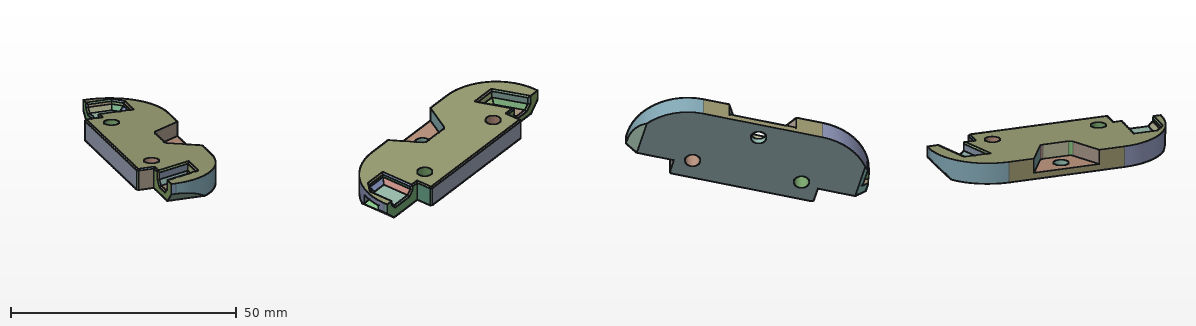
import cadquery as cq
import math

length = 55.0
thickness = 4.95
rear_y = 14.85
corner_radius = 13.85
tongue_width = 33.0
tongue_reach = 3.9
end_bevel = 2.5
edge_chamfer = 0.35

hole_diameter = 3.4
front_hole_x = 12.5
front_hole_y = 1.0
rear_hole_y = 11.15

notch_mouth_width = 15.4
notch_front_width = 7.15
notch_front_y = 7.7
notch_floor_z = 1.55
notch_corner_radius = 1.0

pocket_border = 1.05
rim_chamfer = 0.4

left_pocket_floor_z = 2.85
left_pocket_outer_x = -25.45
left_pocket_inner_x = -18.55
left_pocket_rear_y = 8.05
left_pocket_corner_cut = 2.05

right_pocket_floor_z = 1.85
right_pocket_inner_x = 19.2
right_pocket_outer_x = 24.5
right_pocket_rear_y = 8.2
right_pocket_lean = 20.0

recess_front_y = 2.55
recess_rear_y = 7.65
recess_floor_z = 1.05
recess_back_x = -23.8
recess_back_top_z = 1.55
recess_shoulder_x = -24.95
recess_shoulder_z = 2.75
recess_mouth_z = 3.5

cut_margin = 0.55
half_length = length / 2
half_tongue = tongue_width / 2


def make_plate():
    arc_y = rear_y - corner_radius
    arc_x = half_length - corner_radius
    mid_offset = corner_radius * math.sqrt(0.5)
    mid_x = arc_x + mid_offset
    mid_y = arc_y + mid_offset
    plate = (
        cq.Workplane("XY")
        .moveTo(-half_tongue, -tongue_reach)
        .lineTo(half_tongue, -tongue_reach)
        .lineTo(half_tongue, 0)
        .lineTo(half_length, 0)
        .lineTo(half_length, arc_y)
        .threePointArc((mid_x, mid_y), (arc_x, rear_y))
        .lineTo(-arc_x, rear_y)
        .threePointArc((-mid_x, mid_y), (-half_length, arc_y))
        .lineTo(-half_length, 0)
        .lineTo(-half_tongue, 0)
        .close()
        .extrude(thickness)
    )
    return plate.edges("|Z and <Y").chamfer(edge_chamfer)


def make_end_bevel(side):
    """Wedge under one end of the plate; side is -1 or 1."""
    tip_x = side * half_length
    corners = [(tip_x - side * end_bevel, 0), (tip_x, 0), (tip_x, end_bevel)]
    return cq.Workplane("XZ").polyline(corners).close().extrude(-rear_y)


def chamfer_front_edges(plate):
    """Chamfer the top front edges, leaving the wing tips outside the pockets sharp."""
    front_edges = cq.selectors.BoxSelector(
        (-half_length, -tongue_reach - cut_margin, thickness - cut_margin),
        (half_length, edge_chamfer, thickness + cut_margin),
    )
    chamfered = plate.faces(">Z").edges(front_edges).chamfer(edge_chamfer)
    middle = (
        cq.Workplane("XY")
        .box(right_pocket_outer_x - left_pocket_outer_x, 3 * length, 3 * thickness)
        .translate(((right_pocket_outer_x + left_pocket_outer_x) / 2, 0, 0))
    )
    return chamfered.union(plate.cut(middle))


def offset_outline(outline, offset, z):
    """Wire at height z with every side moved outward by offset, except the open front."""
    front_line = (0, -1, cut_margin)
    lines = [front_line]
    for (start_x, start_y), (end_x, end_y) in zip(outline, outline[1:]):
        run = math.hypot(end_x - start_x, end_y - start_y)
        normal_x = (start_y - end_y) / run
        normal_y = (end_x - start_x) / run
        lines.append((normal_x, normal_y, normal_x * start_x + normal_y * start_y + offset))
    lines.append(front_line)
    corners = []
    for (ax, ay, a_distance), (bx, by, b_distance) in zip(lines, lines[1:]):
        cross = ax * by - ay * bx
        x = (a_distance * by - b_distance * ay) / cross
        y = (ax * b_distance - bx * a_distance) / cross
        corners.append(cq.Vector(x, y, z))
    return cq.Wire.makePolygon(corners, close=True)


def make_pocket(outline, floor_z):
    """Pocket cutter from its wall outline, listed clockwise from left front to right front."""
    wall_z = floor_z + pocket_border
    levels = [
        (-pocket_border, floor_z),
        (0, wall_z),
        (0, thickness - rim_chamfer),
        (rim_chamfer, thickness),
    ]
    wires = [offset_outline(outline, offset, z) for offset, z in levels]
    pocket = cq.Workplane("XY")
    for low_wire, high_wire in zip(wires, wires[1:]):
        pocket = pocket.union(cq.Workplane(obj=cq.Solid.makeLoft([low_wire, high_wire], True)))
    return pocket


def make_pocket_lip(left_x, right_x, floor_z, lean=0.0):
    """Chamfer cutter around the pocket's opening in the front face."""
    lean_angle = math.radians(lean)
    border_width = pocket_border / math.cos(lean_angle)
    wall_z = floor_z + pocket_border
    corner_shift = rim_chamfer * math.tan(math.pi / 8)

    def section(y, growth, corner_growth):
        lean_shift = y * math.tan(lean_angle)
        left = left_x - lean_shift - growth
        right = right_x - lean_shift + growth
        border = border_width + growth - corner_growth
        low_z = floor_z - growth
        high_z = wall_z - corner_growth
        points = [
            (left, thickness),
            (left, high_z),
            (left + border, low_z),
            (right - border, low_z),
            (right, high_z),
            (right, thickness),
        ]
        return cq.Wire.makePolygon([cq.Vector(x, y, z) for x, z in points], close=True)

    front = section(0, rim_chamfer, corner_shift)
    back = section(rim_chamfer, 0, 0)
    return cq.Workplane(obj=cq.Solid.makeLoft([front, back], True))


def make_rear_notch():
    slope = (notch_mouth_width - notch_front_width) / 2 / (rear_y - notch_front_y)
    half_mouth = notch_mouth_width / 2 + slope * cut_margin
    half_front = notch_front_width / 2
    mouth_y = rear_y + cut_margin
    corners = [
        (-half_mouth, mouth_y),
        (-half_front, notch_front_y),
        (half_front, notch_front_y),
        (half_mouth, mouth_y),
    ]
    notch = cq.Workplane("XY").workplane(offset=notch_floor_z).polyline(corners).close().extrude(thickness)
    return notch.edges("|Z and <Y").fillet(notch_corner_radius)


def make_end_recess():
    outside_x = -half_length
    profile = (
        cq.Workplane("XZ", origin=(0, recess_front_y, 0))
        .moveTo(outside_x, recess_floor_z)
        .lineTo(recess_back_x, recess_floor_z)
        .lineTo(recess_back_x, recess_back_top_z)
        .threePointArc((recess_shoulder_x, recess_shoulder_z), (outside_x, recess_mouth_z))
        .close()
    )
    return profile.extrude(recess_front_y - recess_rear_y)


def make_holes():
    centers = [(-front_hole_x, front_hole_y), (front_hole_x, front_hole_y), (0, rear_hole_y)]
    return cq.Workplane("XY").pushPoints(centers).circle(hole_diameter / 2).extrude(thickness)


left_outline = [
    (left_pocket_outer_x, 0),
    (left_pocket_outer_x, left_pocket_rear_y - left_pocket_corner_cut),
    (left_pocket_outer_x + left_pocket_corner_cut, left_pocket_rear_y),
    (left_pocket_inner_x, left_pocket_rear_y),
    (left_pocket_inner_x, 0),
]
right_rear_shift = right_pocket_rear_y * math.tan(math.radians(right_pocket_lean))
right_outline = [
    (right_pocket_inner_x, 0),
    (right_pocket_inner_x - right_rear_shift, right_pocket_rear_y),
    (right_pocket_outer_x - right_rear_shift, right_pocket_rear_y),
    (right_pocket_outer_x, 0),
]

result = chamfer_front_edges(make_plate())
for side in (-1, 1):
    result = result.cut(make_end_bevel(side))
result = result.cut(make_pocket(left_outline, left_pocket_floor_z))
result = result.cut(make_pocket_lip(left_pocket_outer_x, left_pocket_inner_x, left_pocket_floor_z))
result = result.cut(make_pocket(right_outline, right_pocket_floor_z))
result = result.cut(
    make_pocket_lip(right_pocket_inner_x, right_pocket_outer_x, right_pocket_floor_z, right_pocket_lean)
)
result = result.cut(make_rear_notch())
result = result.cut(make_end_recess())
result = result.cut(make_holes())